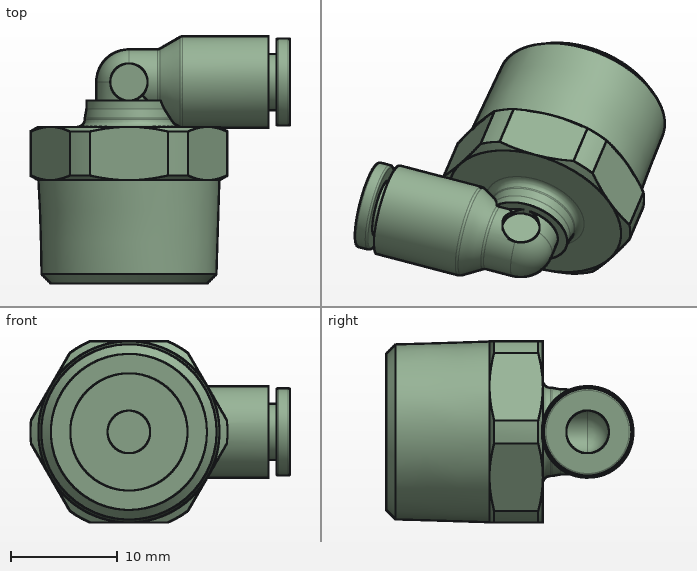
import cadquery as cq
import math


elbow_radius = 3.08
channel_radius = 2.0
recess_radius = 1.75
recess_floor_z = 2.5

socket_radius = 4.3
cone_start_x = 2.8
cone_angle = math.radians(30)
cone_blend_radius = 0.5
socket_end_x = 13.1
neck_radius = 2.65
collar_radius = 4.1
collar_start_x = 13.82
collar_end_x = 15.12
collar_edge_round = 0.2

base_top_y = -1.72
base_flare_y = -2.54
base_radius = 4.0
base_foot_radius = 4.15
base_foot_y = -3.35
base_fillet_radius = 0.7

hex_top_y = -4.2
hex_height = 5.0
hex_sides = 6
hex_across_flats = 17.0
hex_corner_radius = 9.25
hex_chamfer_angle = math.radians(30)

thread_length = 9.7
gauge_radius = 8.331
gauge_length = 4.5
thread_slope = 1 / 32
thread_chamfer = 0.9
bore_radius = 5.5
bore_depth = thread_length

hex_bottom_y = hex_top_y - hex_height
thread_end_y = hex_bottom_y - thread_length
gauge_y = thread_end_y + gauge_length


def thread_radius_at(y):
    """Radius of the taper at a position along the body axis."""
    return gauge_radius + (y - gauge_y) * thread_slope


def cylinder_x(radius, start_x, end_x):
    return cq.Workplane("YZ", origin=(start_x, 0, 0)).circle(radius).extrude(end_x - start_x)


def cylinder_y(radius, bottom_y, top_y):
    return cq.Workplane("XZ", origin=(0, top_y, 0)).circle(radius).extrude(top_y - bottom_y)


def make_elbow():
    """Round elbow: a ball joining two equal pipes, with a flat round recess on top."""
    ball = cq.Workplane("XY").sphere(elbow_radius)
    stem = cylinder_y(elbow_radius, hex_top_y, 0)
    arm = cylinder_x(elbow_radius, 0, cone_start_x)
    recess = (
        cq.Workplane("XY", origin=(0, 0, recess_floor_z))
        .circle(recess_radius)
        .extrude(elbow_radius - recess_floor_z)
    )
    return ball.union(stem).union(arm).cut(recess)


def make_socket():
    """Socket turned about X: blended cone, barrel and neck."""
    cone_end_x = cone_start_x + (socket_radius - elbow_radius) / math.tan(cone_angle)
    blend_length = cone_blend_radius * math.tan(cone_angle / 2)
    along_cone_x = blend_length * math.cos(cone_angle)
    along_cone_r = blend_length * math.sin(cone_angle)
    arc_mid_x = cone_blend_radius * math.sin(cone_angle / 2)
    arc_mid_r = cone_blend_radius * (1 - math.cos(cone_angle / 2))
    lower_start_x = cone_start_x - blend_length
    upper_end_x = cone_end_x + blend_length
    return (
        cq.Workplane("XY")
        .moveTo(lower_start_x, 0)
        .lineTo(lower_start_x, elbow_radius)
        .threePointArc(
            (lower_start_x + arc_mid_x, elbow_radius + arc_mid_r),
            (cone_start_x + along_cone_x, elbow_radius + along_cone_r),
        )
        .lineTo(cone_end_x - along_cone_x, socket_radius - along_cone_r)
        .threePointArc(
            (upper_end_x - arc_mid_x, socket_radius - arc_mid_r),
            (upper_end_x, socket_radius),
        )
        .lineTo(socket_end_x, socket_radius)
        .lineTo(socket_end_x, neck_radius)
        .lineTo(collar_start_x, neck_radius)
        .lineTo(collar_start_x, 0)
        .close()
        .revolve(360, (0, 0, 0), (1, 0, 0))
    )


def make_collar():
    """Release collar at the open end of the socket, with both rims rounded."""
    return cylinder_x(collar_radius, collar_start_x, collar_end_x).edges().fillet(collar_edge_round)


def make_base():
    """Swivel base turned about Y, flaring into the top of the hexagon."""
    fillet_top_y = hex_top_y + base_fillet_radius
    rim_radius = base_foot_radius + base_fillet_radius
    arc_inset = base_fillet_radius * math.cos(math.radians(45))
    return (
        cq.Workplane("XY")
        .moveTo(0, base_top_y)
        .lineTo(base_radius, base_top_y)
        .lineTo(base_radius, base_flare_y)
        .lineTo(base_foot_radius, base_foot_y)
        .lineTo(base_foot_radius, fillet_top_y)
        .threePointArc((rim_radius - arc_inset, fillet_top_y - arc_inset), (rim_radius, hex_top_y))
        .lineTo(0, hex_top_y)
        .close()
        .revolve(360, (0, 0, 0), (0, 1, 0))
    )


def make_hexagon():
    """Hexagon with flats facing +Z and -Z, corners turned to a cylinder and chamfered ends."""
    hex_across_corners = hex_across_flats / math.cos(math.pi / hex_sides)
    prism = (
        cq.Workplane("XZ", origin=(0, hex_top_y, 0))
        .polygon(hex_sides, hex_across_corners)
        .extrude(hex_height)
    )
    flat_radius = hex_across_flats / 2
    chamfer_height = (hex_corner_radius - flat_radius) * math.tan(hex_chamfer_angle)
    envelope = (
        cq.Workplane("XY")
        .moveTo(0, hex_top_y)
        .lineTo(flat_radius, hex_top_y)
        .lineTo(hex_corner_radius, hex_top_y - chamfer_height)
        .lineTo(hex_corner_radius, hex_bottom_y + chamfer_height)
        .lineTo(flat_radius, hex_bottom_y)
        .lineTo(0, hex_bottom_y)
        .close()
        .revolve(360, (0, 0, 0), (0, 1, 0))
    )
    return prism.intersect(envelope)


def make_thread():
    """Plain tapered thread envelope with a chamfered lead-in."""
    chamfer_y = thread_end_y + thread_chamfer
    chamfer_radius = thread_radius_at(chamfer_y)
    return (
        cq.Workplane("XY")
        .moveTo(0, hex_bottom_y)
        .lineTo(thread_radius_at(hex_bottom_y), hex_bottom_y)
        .lineTo(chamfer_radius, chamfer_y)
        .lineTo(chamfer_radius - thread_chamfer, thread_end_y)
        .lineTo(0, thread_end_y)
        .close()
        .revolve(360, (0, 0, 0), (0, 1, 0))
    )


def make_passage():
    """Wide bore in the thread leading to a round channel that turns into the socket."""
    bore_floor_y = thread_end_y + bore_depth
    bore = cylinder_y(bore_radius, thread_end_y, bore_floor_y)
    inlet = cylinder_y(channel_radius, bore_floor_y, 0)
    bend = cq.Workplane("XY").sphere(channel_radius)
    outlet = cylinder_x(channel_radius, 0, collar_end_x)
    return bore.union(inlet).union(bend).union(outlet)


outside = make_elbow()
for section in (make_socket(), make_collar(), make_base(), make_hexagon(), make_thread()):
    outside = outside.union(section)

result = outside.cut(make_passage())